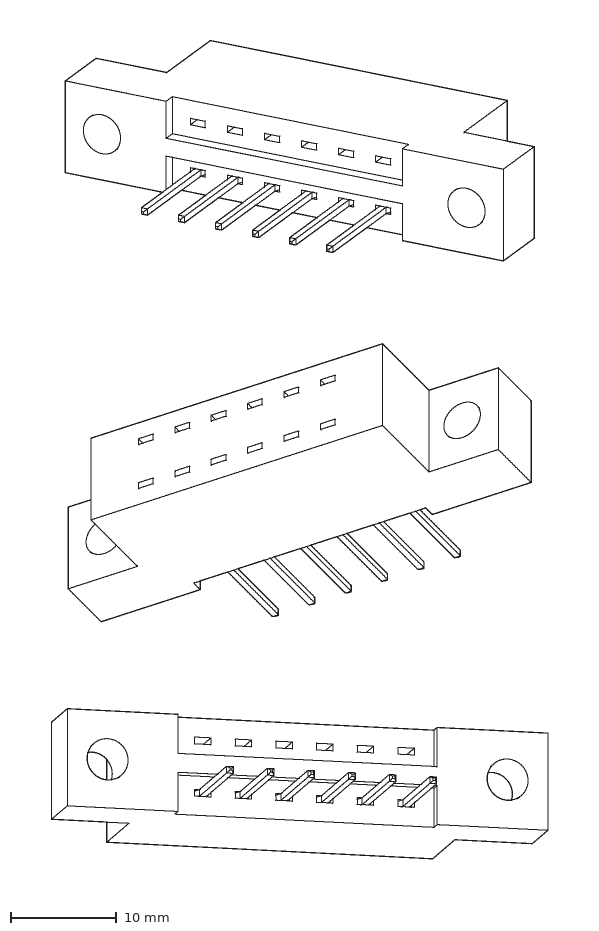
import cadquery as cq

flange_width = 46.8
housing_height = 9.4
flange_depth = 6.3
plug_width = 31.72
housing_depth = 15.2

mounting_hole_diameter = 4.0
mounting_hole_spacing = 38.95

pocket_width = 25.2
pocket_depth = 1.25
rib_height = 1.82
pocket_height = (housing_height - rib_height) / 2

contact_count = 6
contact_row_length = 19.8
contact_pitch = contact_row_length / (contact_count - 1)
slot_width = 1.6
slot_height = 0.65
row_offset = 2.55

pin_width = 0.65
pin_reach = 9.95
tip_length = 0.37
tip_end_size = 0.225
shoulder_length = 1.2

shoulder_end_y = pocket_depth + shoulder_length
tip_start_y = tip_length - pin_reach

contact_x = [(i - (contact_count - 1) / 2) * contact_pitch for i in range(contact_count)]


def block(width, height, y_front, y_back, z_middle=0.0):
    """Box centred on X = 0 and z_middle, running from y_front to y_back."""
    return cq.Workplane("XY").box(width, y_back - y_front, height).translate(
        (0, (y_front + y_back) / 2, z_middle)
    )


def make_housing():
    """Flanged plug block with mounting holes, front pockets and contact slots."""
    flange = block(flange_width, housing_height, 0, flange_depth)
    body = flange.union(block(plug_width, housing_height, 0, housing_depth))

    mounting_holes = (
        cq.Workplane("XZ")
        .pushPoints([(-mounting_hole_spacing / 2, 0), (mounting_hole_spacing / 2, 0)])
        .circle(mounting_hole_diameter / 2)
        .extrude(-flange_depth)
    )
    body = body.cut(mounting_holes)

    pocket_z = (rib_height + pocket_height) / 2
    for side in (1, -1):
        body = body.cut(block(pocket_width, pocket_height, 0, pocket_depth, side * pocket_z))

    slots = (
        cq.Workplane("XZ")
        .pushPoints([(x, side * row_offset) for x in contact_x for side in (1, -1)])
        .rect(slot_width, slot_height)
        .extrude(-housing_depth)
    )
    return body.cut(slots)


def make_contact(x):
    """Contact in the lower slot row at the given X."""
    outline = [
        (-slot_width / 2, housing_depth),
        (-slot_width / 2, shoulder_end_y),
        (-pin_width / 2, pocket_depth),
        (-pin_width / 2, tip_start_y),
        (pin_width / 2, tip_start_y),
        (pin_width / 2, pocket_depth),
        (slot_width / 2, shoulder_end_y),
        (slot_width / 2, housing_depth),
    ]
    shank = (
        cq.Workplane("XY")
        .polyline(outline)
        .close()
        .extrude(slot_height / 2, both=True)
    )
    tip = (
        cq.Workplane("XZ", origin=(0, tip_start_y, 0))
        .rect(pin_width, slot_height)
        .workplane(offset=tip_length)
        .rect(tip_end_size, tip_end_size)
        .loft(ruled=True)
    )
    return shank.union(tip).translate((x, 0, -row_offset))


housing = make_housing()
contacts = [make_contact(x) for x in contact_x]

result = cq.Compound.makeCompound([housing.val(), *[contact.val() for contact in contacts]])